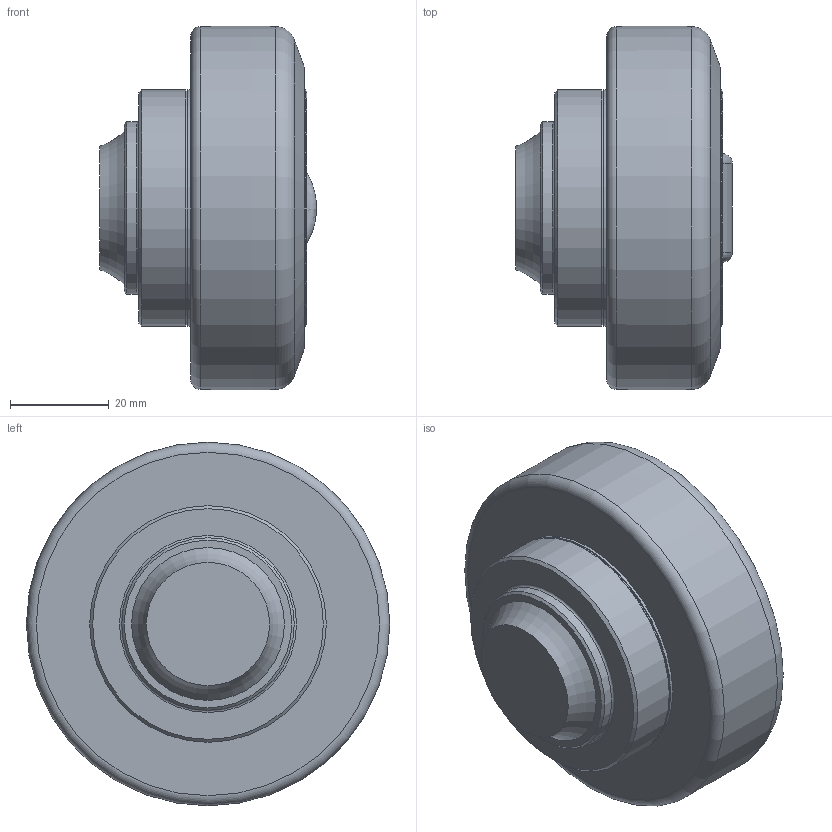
import cadquery as cq
import math


stud_end_radius = 12.5
stud_base_radius = 15.5
stud_length = 5.0
stud_side_sag = 0.32

collar_radius = 17.5
collar_chamfer = 0.5
collar_root_fillet = 0.45
hub_start = 7.9

hub_radius = 24.0
hub_chamfer = 0.6
hub_end_chamfer = 0.3
hub_end = 42.0
hub_groove_start = 17.5
hub_groove_width = 0.4
hub_groove_depth = 0.2

tyre_radius = 36.9
tyre_start = 18.5
tyre_end = 41.5
tyre_front_fillet = 2.0
tyre_crown_radius = 500.0
tyre_tread_length = 15.2
tyre_rear_fillet = 4.0
tyre_cone_angle = math.radians(20)

barrel_radius = 14.0
barrel_tip = 44.1
barrel_length = 22.0
barrel_fillet = 2.0
barrel_crown_radius = 500.0


def crown_drop(crown_radius, half_length):
    """Fall of a crowned surface from its middle to its ends."""
    return crown_radius - math.sqrt(crown_radius**2 - half_length**2)


def revolve_about_x(profile):
    return profile.close().revolve(360, (0, 0, 0), (1, 0, 0))


def make_stud():
    middle_x = stud_length / 2
    middle_radius = (stud_end_radius + stud_base_radius) / 2
    slope = math.atan2(stud_base_radius - stud_end_radius, stud_length)
    side_middle = (
        middle_x + stud_side_sag * math.sin(slope),
        middle_radius - stud_side_sag * math.cos(slope),
    )
    profile = (
        cq.Workplane("XY")
        .lineTo(0, stud_end_radius)
        .threePointArc(side_middle, (stud_length, stud_base_radius))
        .lineTo(stud_length, 0)
    )
    return revolve_about_x(profile)


def make_collar():
    profile = (
        cq.Workplane("XY")
        .moveTo(stud_length, 0)
        .lineTo(stud_length, collar_radius - collar_chamfer)
        .lineTo(stud_length + collar_chamfer, collar_radius)
        .lineTo(hub_start - collar_root_fillet, collar_radius)
        .radiusArc((hub_start, collar_radius + collar_root_fillet), -collar_root_fillet)
        .lineTo(hub_start, 0)
    )
    return revolve_about_x(profile)


def make_hub():
    groove_end = hub_groove_start + hub_groove_width
    groove_radius = hub_radius - hub_groove_depth
    profile = (
        cq.Workplane("XY")
        .moveTo(hub_start, 0)
        .lineTo(hub_start, hub_radius - hub_chamfer)
        .lineTo(hub_start + hub_chamfer, hub_radius)
        .lineTo(hub_groove_start, hub_radius)
        .lineTo(hub_groove_start, groove_radius)
        .lineTo(groove_end, groove_radius)
        .lineTo(groove_end, hub_radius)
        .lineTo(hub_end - hub_end_chamfer, hub_radius)
        .lineTo(hub_end, hub_radius - hub_end_chamfer)
        .lineTo(hub_end, 0)
    )
    return revolve_about_x(profile)


def make_tyre():
    tread_start = tyre_start + tyre_front_fillet
    tread_end = tread_start + tyre_tread_length
    edge_radius = tyre_radius - crown_drop(tyre_crown_radius, tyre_tread_length / 2)
    diagonal = math.sqrt(0.5)

    rear_centre_radius = edge_radius - tyre_rear_fillet
    cone_start = tread_end + tyre_rear_fillet * math.cos(tyre_cone_angle)
    cone_start_radius = rear_centre_radius + tyre_rear_fillet * math.sin(tyre_cone_angle)
    cone_end_radius = cone_start_radius - (tyre_end - cone_start) / math.tan(tyre_cone_angle)

    profile = (
        cq.Workplane("XY")
        .moveTo(tyre_start, 0)
        .lineTo(tyre_start, edge_radius - tyre_front_fillet)
        .threePointArc(
            (
                tread_start - tyre_front_fillet * diagonal,
                edge_radius - tyre_front_fillet * (1 - diagonal),
            ),
            (tread_start, edge_radius),
        )
        .threePointArc(
            (tread_start + tyre_tread_length / 2, tyre_radius),
            (tread_end, edge_radius),
        )
        .threePointArc(
            (
                tread_end + tyre_rear_fillet * diagonal,
                rear_centre_radius + tyre_rear_fillet * diagonal,
            ),
            (cone_start, cone_start_radius),
        )
        .lineTo(tyre_end, cone_end_radius)
        .lineTo(tyre_end, 0)
    )
    return revolve_about_x(profile)


def make_barrel():
    half_length = barrel_length / 2
    half_crown = half_length - barrel_fillet
    edge_radius = barrel_radius - crown_drop(barrel_crown_radius, half_crown)
    end_radius = edge_radius - barrel_fillet
    profile = (
        cq.Workplane("XY")
        .moveTo(0, -half_length)
        .lineTo(end_radius, -half_length)
        .radiusArc((edge_radius, -half_crown), -barrel_fillet)
        .threePointArc((barrel_radius, 0), (edge_radius, half_crown))
        .radiusArc((end_radius, half_length), -barrel_fillet)
        .lineTo(0, half_length)
        .close()
    )
    barrel = profile.revolve(360, (0, 0, 0), (0, 1, 0))
    return barrel.translate((barrel_tip - barrel_radius, 0, 0))


result = make_stud().union(make_collar()).union(make_hub()).union(make_tyre()).union(make_barrel())